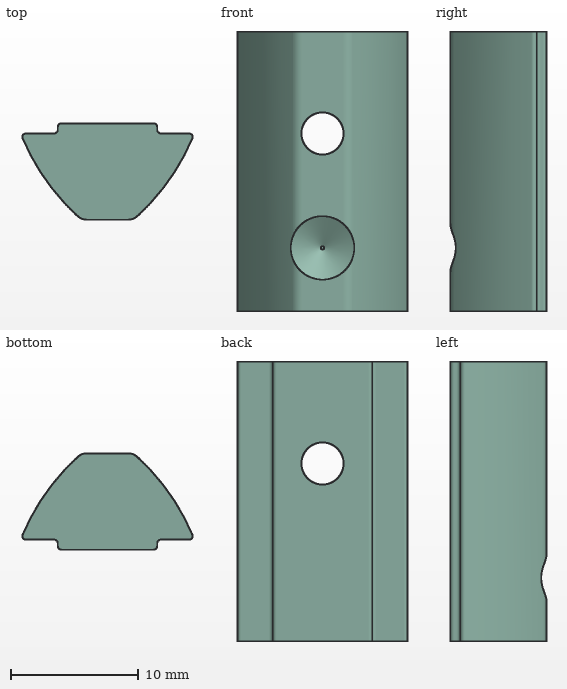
import cadquery as cq
import math

length = 22.0
depth = 7.6
pad_width = 7.83
pad_height = 0.8
shoulder_half_width = 6.85
nose_half_width = 2.02
flank_radius = 17.38

corner_radius = 0.29
nose_radius = 1.0

through_diameter = 3.3
through_z = 14.0
pocket_diameter = 5.0
pocket_z = 5.0
pocket_wall_depth = 3.95
tip_diameter = 0.26
tip_angle = 134.0

nose_y = -depth / 2
pad_y = depth / 2
shoulder_y = pad_y - pad_height
pad_half_width = pad_width / 2


def make_body():
    """Extrude the section and round its lengthwise edges."""
    body = (
        cq.Workplane("XY")
        .moveTo(-nose_half_width, nose_y)
        .lineTo(nose_half_width, nose_y)
        .radiusArc((shoulder_half_width, shoulder_y), -flank_radius)
        .lineTo(pad_half_width, shoulder_y)
        .lineTo(pad_half_width, pad_y)
        .lineTo(-pad_half_width, pad_y)
        .lineTo(-pad_half_width, shoulder_y)
        .lineTo(-shoulder_half_width, shoulder_y)
        .radiusArc((-nose_half_width, nose_y), -flank_radius)
        .close()
        .extrude(length)
    )
    body = body.edges("|Z").edges("<Y").fillet(nose_radius)
    rear_corners = cq.selectors.BoxSelector(
        (-shoulder_half_width - 0.22, 0, 0), (shoulder_half_width + 0.22, depth, length)
    )
    return body.edges("|Z").edges(rear_corners).fillet(corner_radius)


def make_through_hole():
    """Straight hole across the full depth."""
    return (
        cq.Workplane("XZ", origin=(0, nose_y, through_z))
        .circle(through_diameter / 2)
        .extrude(-depth)
    )


def make_pocket():
    """Blind hole with a straight wall, a conical bottom and a small flat tip."""
    radius = pocket_diameter / 2
    tip_radius = tip_diameter / 2
    cone_depth = (radius - tip_radius) / math.tan(math.radians(tip_angle / 2))
    wall_end_y = nose_y + pocket_wall_depth
    tip_y = wall_end_y + cone_depth
    return (
        cq.Workplane("XY", origin=(0, 0, pocket_z))
        .moveTo(0, nose_y)
        .lineTo(radius, nose_y)
        .lineTo(radius, wall_end_y)
        .lineTo(tip_radius, tip_y)
        .lineTo(0, tip_y)
        .close()
        .revolve(360, (0, 0, 0), (0, 1, 0))
    )


result = make_body().cut(make_through_hole()).cut(make_pocket())